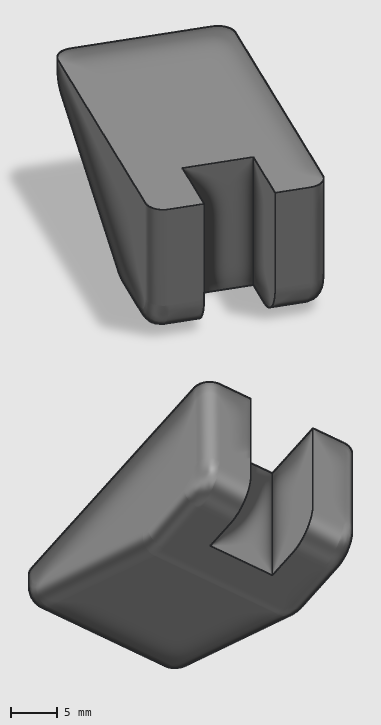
import cadquery as cq

length = 36.0
width = 20.0
height = 16.0

nose_height = 4.0
slope_run = 24.0
corner_radius = 4.0

side_edge_radius = 2.0

notch_depth = 8.0
notch_width = 8.0


def make_wedge():
    """Extrude the side profile, top face at Z = 0, centred on Y."""
    profile = [
        (0, 0),
        (length, 0),
        (length, -height),
        (slope_run, -height),
        (0, -nose_height),
    ]
    return cq.Workplane("XZ").polyline(profile).close().extrude(width / 2, both=True)


def round_edges(body):
    """Round the lower profile corners, then the side-face edges; the top rim stays sharp."""
    body = body.edges("|Y").edges("not >Z").fillet(corner_radius)
    return body.faces("<Y or >Y").edges("not >Z").fillet(side_edge_radius)


def make_notch():
    """Rectangular cutter through the full height at the +X end."""
    return (
        cq.Workplane("XY")
        .center(length - notch_depth / 2, 0)
        .rect(notch_depth, notch_width)
        .extrude(-height)
    )


result = round_edges(make_wedge()).cut(make_notch())